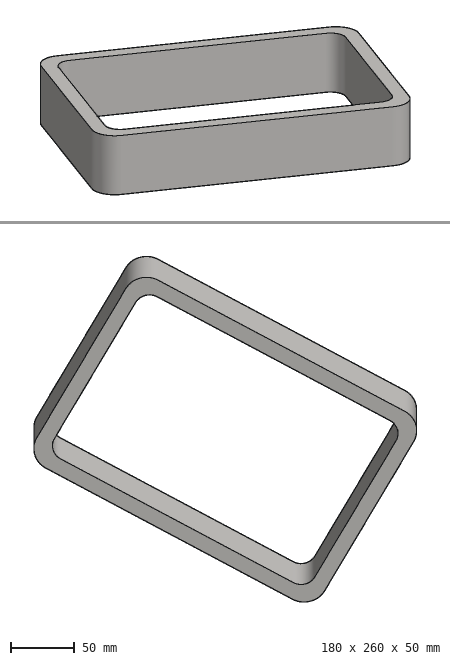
import cadquery as cq

width = 180.0
length = 260.0
height = 50.0
wall = 12.5
outer_radius = 18.7
inner_radius = 12.5


def rounded_block(size_x, size_y, radius):
    """Full-height block with its four upright edges rounded."""
    return cq.Workplane("XY").box(size_x, size_y, height).edges("|Z").fillet(radius)


outer_block = rounded_block(width, length, outer_radius)
opening = rounded_block(width - 2 * wall, length - 2 * wall, inner_radius)

result = outer_block.cut(opening)